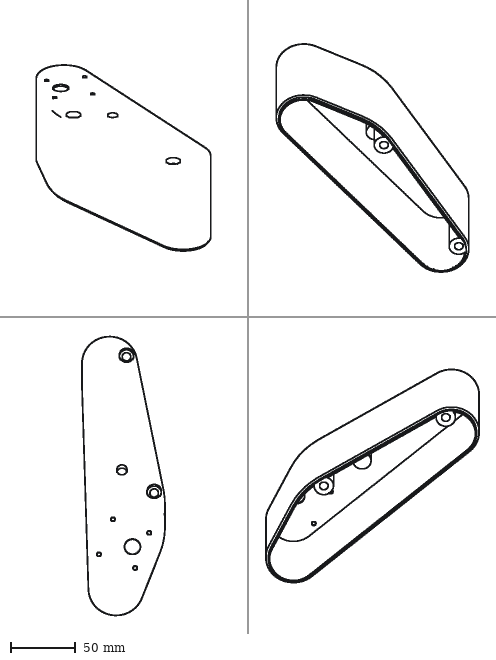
import cadquery as cq
import math

length = 203.17
width = 69.49
height = 74.5

end_radius = 21.5
bend_radius = 57.5
slant_angle = 32.3

top_fillet = 2.0
foot_height = 2.5
foot_inset = 2.0

wall_thickness = 3.0
roof_thickness = 1.5

mount_x = 74.1
mount_y = 7.5
mount_spacing = 111.0
mount_diameter = 6.6
mount_head_diameter = 11.2
mount_head_depth = 5.0
mount_post_diameter = 2 * mount_y

motor_x = 37.8
motor_y = 38.45
motor_screw_spacing = 30.1
motor_screw_diameter = 3.2
shaft_offset = 7.0
shaft_diameter = 12.2

blind_x = 95.8
blind_y = 28.7
blind_diameter = 8.0
blind_depth = 10.0
boss_thickness = 3.0

mount_centers = [(mount_x, mount_y), (mount_x + mount_spacing, mount_y)]
blind_center = (blind_x, blind_y)

left_center = (end_radius, width - end_radius)
right_center = (length - end_radius, end_radius)

back_drop = left_center[1] - right_center[1]
back_run = right_center[0] - left_center[0]
back_normal = 90 - math.degrees(math.atan2(back_drop, back_run))
slant_normal = 270 - slant_angle
front_normal = 270

slant_sin = math.sin(math.radians(slant_angle))
slant_cos = math.cos(math.radians(slant_angle))
bend_rise = bend_radius - left_center[1]
bend_run = (bend_radius - end_radius - bend_rise * slant_cos) / slant_sin
bend_center = (left_center[0] + bend_run, bend_radius)


def polar_point(center, radius, angle):
    """Point at a distance and direction (degrees) from a centre."""
    return (
        center[0] + radius * math.cos(math.radians(angle)),
        center[1] + radius * math.sin(math.radians(angle)),
    )


def outline_prism(inset, bottom, top):
    """Prism over the plan outline, drawn in by an inset, between two heights."""
    end = end_radius - inset
    bend = bend_radius - inset
    return (
        cq.Workplane("XY", origin=(0, 0, bottom))
        .moveTo(*polar_point(left_center, end, slant_normal))
        .lineTo(*polar_point(bend_center, bend, slant_normal))
        .threePointArc(
            polar_point(bend_center, bend, (slant_normal + front_normal) / 2),
            polar_point(bend_center, bend, front_normal),
        )
        .lineTo(*polar_point(right_center, end, front_normal))
        .threePointArc(
            polar_point(right_center, end, 0),
            polar_point(right_center, end, back_normal),
        )
        .lineTo(*polar_point(left_center, end, back_normal))
        .threePointArc(
            polar_point(left_center, end, 180),
            polar_point(left_center, end, slant_normal),
        )
        .close()
        .extrude(top - bottom)
    )


def make_body():
    """Housing with a rounded top rim, standing on a recessed foot."""
    housing = outline_prism(0, foot_height, height).faces(">Z").edges().fillet(top_fillet)
    return housing.union(outline_prism(foot_inset, 0, foot_height))


def round_tool(center, diameter, depth):
    """Cylinder reaching down from the top face."""
    return (
        cq.Workplane("XY", origin=(0, 0, height))
        .center(*center)
        .circle(diameter / 2)
        .extrude(-depth)
    )


def hollow_out(body):
    """Open the inside from below, leaving the mounting posts and the blind-hole boss."""
    cavity = outline_prism(wall_thickness, 0, height - roof_thickness)
    for center in mount_centers:
        cavity = cavity.cut(round_tool(center, mount_post_diameter, height))
    boss_diameter = blind_diameter + 2 * boss_thickness
    boss_depth = blind_depth + boss_thickness
    cavity = cavity.cut(round_tool(blind_center, boss_diameter, boss_depth))
    return body.cut(cavity)


def cut_mounting_holes(body):
    """Counterbored through holes near the front edge."""
    for center in mount_centers:
        body = body.cut(round_tool(center, mount_diameter, height))
        body = body.cut(round_tool(center, mount_head_diameter, mount_head_depth))
    return body


def cut_motor_holes(body):
    """Four screw holes on a square and the offset shaft hole, all through."""
    motor_center = (motor_x, motor_y)
    screw_circle_radius = motor_screw_spacing / math.sqrt(2)
    for corner_angle in (45, 135, 225, 315):
        screw = polar_point(motor_center, screw_circle_radius, corner_angle - slant_angle)
        body = body.cut(round_tool(screw, motor_screw_diameter, height))
    shaft = polar_point(motor_center, shaft_offset, slant_normal)
    return body.cut(round_tool(shaft, shaft_diameter, height))


def cut_blind_hole(body):
    """Plain blind hole in the top face."""
    return body.cut(round_tool(blind_center, blind_diameter, blind_depth))


result = hollow_out(make_body())
result = cut_mounting_holes(result)
result = cut_motor_holes(result)
result = cut_blind_hole(result)